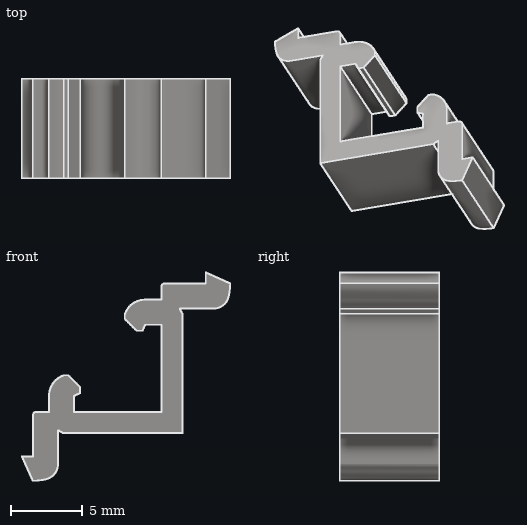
import cadquery as cq
import math

WIDTH = 7.0

WALL = 1.5
ARM_THICKNESS = 1.78
LEG_TOP = 10.52
CORNER_RADIUS = 0.25

BARB_HEIGHT = 0.78
BARB_FACE_X = 1.62
ARM_END_X = 3.35
ARM_BOTTOM = LEG_TOP - ARM_THICKNESS
END_RADIUS = 3.9
HEEL_RADIUS = 1.1
RELIEF_DEPTH = 0.2
RELIEF_HEIGHT = 0.36

HOOK_TOP = 9.39
HOOK_BOTTOM = HOOK_TOP - ARM_THICKNESS
HOOK_END_X = -4.07
HOOK_RADIUS = 1.53
HOOK_CENTER_X = -2.62
HOOK_FLAT = 0.32
LIP_DROP = 0.42
LIP_WIDTH = 0.42
LIP_SLOPE_RUN = 0.19


def mirrored(point):
    """Reflect a section point across the diagonal z = -x."""
    x, z = point
    return (-z, -x)


def on_circle(center, radius, angle):
    """Point of a circle at an angle in radians from +X."""
    return (center[0] + radius * math.cos(angle), center[1] + radius * math.sin(angle))


def arm_end_arcs():
    """Two tangent arcs from the arm's underside up to its outer end."""
    end_center = (ARM_END_X - END_RADIUS, LEG_TOP)
    heel_z = ARM_BOTTOM + HEEL_RADIUS
    turn = -math.asin((LEG_TOP - heel_z) / (END_RADIUS - HEEL_RADIUS))
    heel_center = on_circle(end_center, END_RADIUS - HEEL_RADIUS, turn)
    start = (heel_center[0], ARM_BOTTOM)
    heel_middle = on_circle(heel_center, HEEL_RADIUS, (turn - math.pi / 2) / 2)
    join = on_circle(end_center, END_RADIUS, turn)
    end_middle = on_circle(end_center, END_RADIUS, turn / 2)
    return start, [(heel_middle, join), (end_middle, (ARM_END_X, LEG_TOP))]


def hook_arc():
    """Rounded back of the hook, from its top face to the upright flat."""
    center = (HOOK_CENTER_X, HOOK_TOP - HOOK_RADIUS)
    end_angle = math.acos((HOOK_END_X - HOOK_CENTER_X) / HOOK_RADIUS)
    middle = on_circle(center, HOOK_RADIUS, (math.pi / 2 + end_angle) / 2)
    return middle, on_circle(center, HOOK_RADIUS, end_angle)


def half_section():
    """Segments of the upper half: (end,) for a line, (middle, end) for an arc."""
    heel_start, end_arcs = arm_end_arcs()
    hook_middle, hook_end = hook_arc()
    flat_end = (HOOK_END_X, hook_end[1] - HOOK_FLAT)
    lip_z = HOOK_BOTTOM - LIP_DROP
    lip_x = HOOK_END_X + flat_end[1] - lip_z
    corner_center = (-WALL + CORNER_RADIUS, LEG_TOP - CORNER_RADIUS)
    return [
        ((0, ARM_BOTTOM - RELIEF_HEIGHT),),
        ((-RELIEF_DEPTH, ARM_BOTTOM),),
        (heel_start,),
        *end_arcs,
        ((BARB_FACE_X, LEG_TOP + BARB_HEIGHT),),
        ((BARB_FACE_X, LEG_TOP),),
        ((corner_center[0], LEG_TOP),),
        (on_circle(corner_center, CORNER_RADIUS, 3 * math.pi / 4), (-WALL, corner_center[1])),
        ((-WALL, HOOK_TOP),),
        ((HOOK_CENTER_X, HOOK_TOP),),
        (hook_middle, hook_end),
        (flat_end,),
        ((lip_x, lip_z),),
        ((lip_x + LIP_WIDTH, lip_z),),
        ((lip_x + LIP_WIDTH + LIP_SLOPE_RUN, HOOK_BOTTOM),),
        ((-WALL, HOOK_BOTTOM),),
        ((-WALL, WALL),),
    ]


def draw(sketch, segments):
    """Add line and arc segments to an open outline."""
    for segment in segments:
        if len(segment) == 1:
            sketch = sketch.lineTo(*segment[0])
        else:
            sketch = sketch.threePointArc(*segment)
    return sketch


def mirrored_return(start, segments):
    """Mirror a chain and reverse it, so that it runs back to its start."""
    starts = [start] + [segment[-1] for segment in segments[:-1]]
    back = []
    for segment, begin in zip(reversed(segments), reversed(starts)):
        back.append(tuple(mirrored(point) for point in (*segment[:-1], begin)))
    return back


corner = (0, 0)
upper = half_section()
lower = mirrored_return(corner, upper)
outline = draw(cq.Workplane("XZ").moveTo(*corner), upper + lower[:-1])
result = outline.close().extrude(WIDTH / 2, both=True)